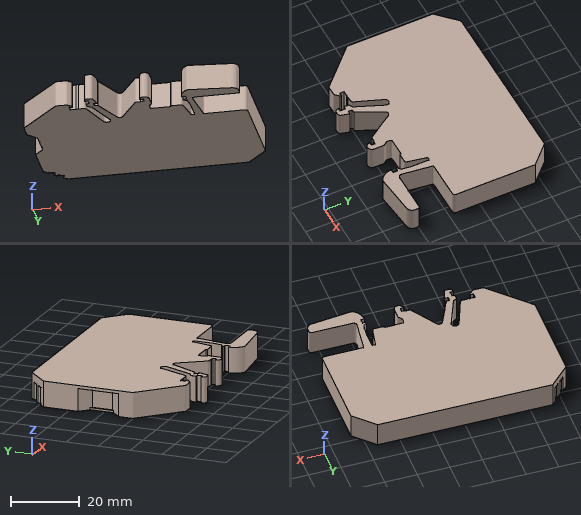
import cadquery as cq
import math

LENGTH = 66.0
DEPTH = 48.5
THICKNESS = 8.0
TOP_CORNER = 6.15

BOTTOM_Y = 2.5
LEFT_CORNER = 11.9
SOFT_EDGE = 0.65
SMALL_EDGE = 0.3
SHELF_Y = 5.7
RAIL_NOTCH_X = 15.5
HOOK_X = 16.5
HOOK_Y = 4.3
HOOK_LIP = 0.45
BUMP_X = 17.6
BUMP_HALF_WIDTH = 0.4
BUMP_DROP = 0.45
BUMP_RADIUS = 0.495
SHELF_END_RADIUS = 1.05
CATCH_Y = 15.8

ARM_X = 20.7
ARM_NOTCH_X = 21.65
ARM_NOTCH_TOP = 3.0
ARM_NOTCH_BOTTOM = 1.3
ARM_GROOVE_X = 23.0
ARM_TOP_Y = 4.55
ARM_TIP_RADIUS = 1.0
GROOVE_Y = 3.35
SLIT_RADIUS = 1.05
V_TIP_RADIUS = 1.0

LEG_LEFT_X = 36.55
LEG_GROOVE_X = 37.6
LEG_SHELF_Y = 4.75
LEG_RIGHT_X = 39.5
LEG_TIP_RADIUS = (LEG_RIGHT_X - LEG_LEFT_X) / 2
LEG_BOTTOM_Y = GROOVE_Y - LEG_TIP_RADIUS
LEG_NECK_X = 38.55
CEILING_Y = 9.5
STEP_Y = 9.05
STEP_X = 44.75
STEP_RUN = 0.25
CEILING_CORNER = 0.5

STEM_X = 50.4
STEM_NOTCH_X = 50.0
JAW_X = 48.9
JAW_GAP_BOTTOM = 4.2
STEM_SLIT_RADIUS = 0.45
FOOT_TOP_Y = 4.95
FOOT_END_Y = 1.5
FOOT_END_RADIUS = 2.0
FOOT_INNER_RADIUS = 1.0
HEEL_RADIUS = 4.6
SOLE_RADIUS = 1.05
CATCH_CORNER = 0.9

POCKET_CENTER_Y = 25.15
POCKET_MOUTH = 12.75
POCKET_HEIGHT = 7.05
POCKET_DEPTH = 3.2
LEDGE_DEPTH = 2.7
LEDGE_HEIGHT = 0.7
POCKET_BEVEL = 0.2

SLOT_FIRST_Y = 46.7
SLOT_PITCH_Y = 2.25
SLOT_COUNT = 2
SLOT_WIDTH = 1.8
SLOT_DEPTH = 0.9
SLOT_ANGLE = -65.0
SLOT_HEIGHT = 5.4

SHORTEST_LINE = 0.0005


def rounded_outline(corners):
    """Closed wire through (x, y, radius) corners; radius 0 keeps a corner sharp."""
    points = []
    for i, (x, y, radius) in enumerate(corners):
        corner = cq.Vector(x, y)
        before = cq.Vector(*corners[i - 1][:2])
        after = cq.Vector(*corners[(i + 1) % len(corners)][:2])
        if radius == 0:
            points.append((corner, None, corner))
            continue
        to_before = (before - corner).normalized()
        to_after = (after - corner).normalized()
        half_angle = to_before.getAngle(to_after) / 2
        bisector = (to_before + to_after).normalized()
        tangent = radius / math.tan(half_angle)
        middle = corner + bisector * (radius / math.sin(half_angle) - radius)
        points.append((corner + to_before * tangent, middle, corner + to_after * tangent))

    edges = []
    for i, (start, middle, end) in enumerate(points):
        if middle is not None:
            edges.append(cq.Edge.makeThreePointArc(start, middle, end))
        following = points[(i + 1) % len(points)][0]
        if (following - end).Length > SHORTEST_LINE:
            edges.append(cq.Edge.makeLine(end, following))
    return cq.Wire.assembleEdges(edges)


def make_plate():
    body_left = [
        (LENGTH, DEPTH - TOP_CORNER, 0),
        (LENGTH - TOP_CORNER, DEPTH, 0),
        (TOP_CORNER, DEPTH, 0),
        (0, DEPTH - TOP_CORNER, 0),
        (0, BOTTOM_Y + LEFT_CORNER, SOFT_EDGE),
        (LEFT_CORNER, BOTTOM_Y, SOFT_EDGE),
    ]
    hook_and_slit = [
        (15.2, BOTTOM_Y, SOFT_EDGE),
        (HOOK_X, HOOK_Y - HOOK_LIP, 0),
        (HOOK_X, HOOK_Y, 0),
        (RAIL_NOTCH_X, HOOK_Y, 0),
        (RAIL_NOTCH_X, SHELF_Y, 0),
        (BUMP_X - BUMP_HALF_WIDTH, SHELF_Y, 0),
        (BUMP_X, SHELF_Y - BUMP_DROP, BUMP_RADIUS),
        (BUMP_X + BUMP_HALF_WIDTH, SHELF_Y, 0),
        (20.05, SHELF_Y, SHELF_END_RADIUS),
        (23.95, 15.85, SLIT_RADIUS),
        (26.1, 15.05, SLIT_RADIUS),
    ]
    spring_arm = [
        (22.0, 5.2, SMALL_EDGE),
        (ARM_X, ARM_TOP_Y, SMALL_EDGE),
        (ARM_X, ARM_NOTCH_TOP, 0),
        (ARM_NOTCH_X, ARM_NOTCH_TOP, 0),
        (ARM_NOTCH_X, ARM_NOTCH_BOTTOM, 0),
        (ARM_X, ARM_NOTCH_BOTTOM, 0),
        (ARM_X, 0, ARM_TIP_RADIUS),
        (23.15, 0, ARM_TIP_RADIUS),
        (24.0, GROOVE_Y, 0),
        (ARM_GROOVE_X, GROOVE_Y, 0),
        (ARM_GROOVE_X, ARM_TOP_Y, 0),
        (23.95, ARM_TOP_Y, 0),
    ]
    v_gap_and_leg = [
        (28.7, 14.3, V_TIP_RADIUS),
        (35.05, LEG_SHELF_Y, SOFT_EDGE),
        (LEG_LEFT_X, LEG_SHELF_Y, 0),
        (LEG_LEFT_X, ARM_TOP_Y, 0),
        (LEG_GROOVE_X, ARM_TOP_Y, 0),
        (LEG_GROOVE_X, GROOVE_Y, 0),
        (LEG_LEFT_X, GROOVE_Y, 0),
        (LEG_LEFT_X, LEG_BOTTOM_Y, LEG_TIP_RADIUS),
        (LEG_RIGHT_X, LEG_BOTTOM_Y, LEG_TIP_RADIUS),
        (LEG_RIGHT_X, 6.6, SMALL_EDGE),
        (LEG_NECK_X, 7.85, SMALL_EDGE),
        (LEG_NECK_X, CEILING_Y, CEILING_CORNER),
        (STEP_X - STEP_RUN, CEILING_Y, 0),
        (STEP_X, STEP_Y, 0),
    ]
    stem_and_foot = [
        (48.1, STEP_Y, SOFT_EDGE),
        (49.45, CATCH_Y, STEM_SLIT_RADIUS),
        (STEM_X, CATCH_Y, SMALL_EDGE),
        (STEM_X, 9.6, 0),
        (STEM_NOTCH_X, 6.85, 0),
        (JAW_X, 6.1, 0),
        (JAW_X, SHELF_Y, 0),
        (STEM_NOTCH_X, SHELF_Y, 0),
        (STEM_NOTCH_X, JAW_GAP_BOTTOM, 0),
        (JAW_X, JAW_GAP_BOTTOM, 0),
        (JAW_X, 1.6, HEEL_RADIUS),
        (51.4, 0, SOLE_RADIUS),
        (LENGTH, FOOT_END_Y, FOOT_END_RADIUS),
        (LENGTH, FOOT_TOP_Y, SOFT_EDGE),
        (51.7, FOOT_TOP_Y, FOOT_INNER_RADIUS),
        (53.05, CATCH_Y, SMALL_EDGE),
        (LENGTH, CATCH_Y, CATCH_CORNER),
    ]
    corners = body_left + hook_and_slit + spring_arm + v_gap_and_leg + stem_and_foot
    return cq.Workplane("XY").add(rounded_outline(corners)).toPending().extrude(THICKNESS)


def make_pocket():
    """Pocket with 45 degree end walls, a ledge at its foot and a small bevel at its head."""
    half_mouth = POCKET_MOUTH / 2
    half_floor = half_mouth - POCKET_DEPTH
    plan = (
        cq.Workplane("XY")
        .polyline([
            (0, POCKET_CENTER_Y - half_mouth),
            (POCKET_DEPTH, POCKET_CENTER_Y - half_floor),
            (POCKET_DEPTH, POCKET_CENTER_Y + half_floor),
            (0, POCKET_CENTER_Y + half_mouth),
        ])
        .close()
        .extrude(POCKET_HEIGHT)
    )
    section = (
        cq.Workplane("XZ", origin=(0, POCKET_CENTER_Y, 0))
        .polyline([
            (0, 0),
            (LEDGE_DEPTH, 0),
            (LEDGE_DEPTH, LEDGE_HEIGHT),
            (POCKET_DEPTH, LEDGE_HEIGHT),
            (POCKET_DEPTH, POCKET_HEIGHT - POCKET_BEVEL),
            (POCKET_DEPTH - POCKET_BEVEL, POCKET_HEIGHT),
            (0, POCKET_HEIGHT),
        ])
        .close()
        .extrude(half_mouth, both=True)
    )
    return plan.intersect(section)


def make_corner_slot(center_y):
    """Slot running at a slant into the back left corner face."""
    center_x = center_y - (DEPTH - TOP_CORNER)
    return (
        cq.Workplane("XY")
        .box(2 * SLOT_DEPTH, SLOT_WIDTH, SLOT_HEIGHT, centered=(True, True, False))
        .rotate((0, 0, 0), (0, 0, 1), SLOT_ANGLE)
        .translate((center_x, center_y, 0))
    )


result = make_plate().cut(make_pocket())
for i in range(SLOT_COUNT):
    result = result.cut(make_corner_slot(SLOT_FIRST_Y - i * SLOT_PITCH_Y))